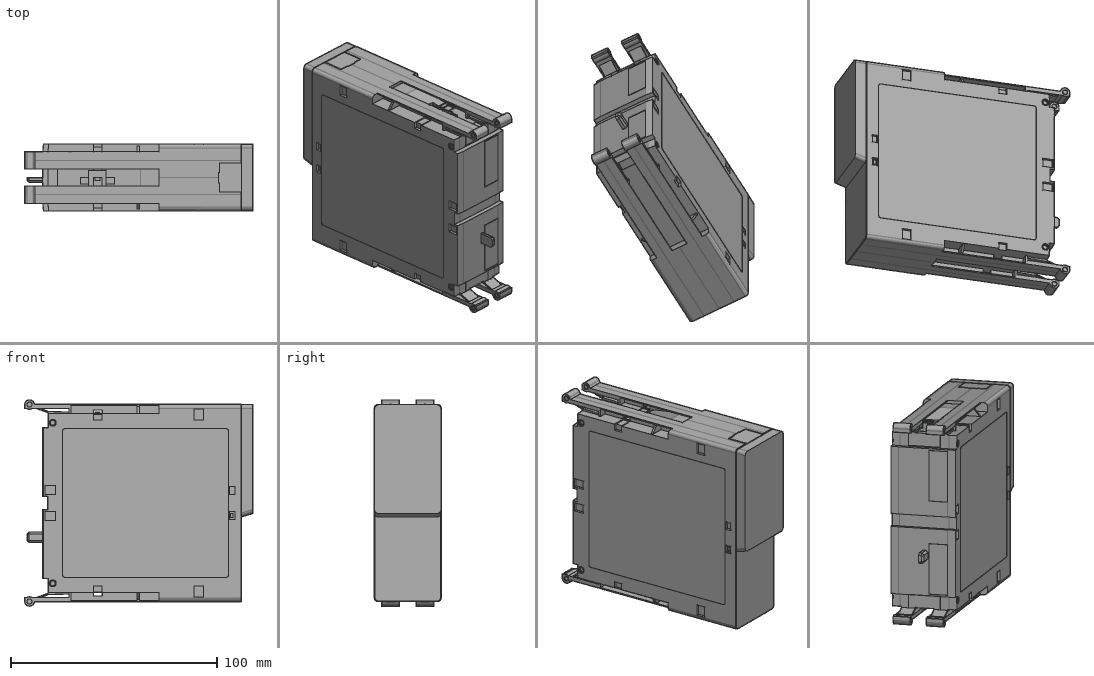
import cadquery as cq
import math

length = 110.5
full_height = 100.0
half_width = 16.2
half_height = 47.7
ridge_rise = 0.1
corner_radius = 1.9
back_x = 8.7
notch_x = 11.3
front_x = 105.1
front_chamfer = 0.3
corner_notch_z = 36.6
middle_notch_x = 10.9
middle_notch_half = 3.2
back_draft_y = 12.4
back_draft = 0.3

rail_inner = 4.1
rail_outer = 12.6
rail_centre = (rail_inner + rail_outer) / 2
rail_skin_z = 47.2
arm_underside_z = 45.7
hook_radius = 2.3
hook_top_z = full_height / 2
hook_flank_degrees = 30.0
hook_hole_radius = 1.2
hook_hole_depth = 0.5

bay_end_x = 65.1
shelf_z = 43.3
web_start_x = 21.4
web_end_x = 22.5
wall_half = 0.4
gusset_x = 54.5
gusset_thick = 1.1
gusset_outer_y = 15.4
gusset_top_z = 46.7

tongue_tip_x = 5.6
tongue_join_x = 8.1
tongue_inner = 4.8
tongue_outer = 11.6
tongue_low_z = 43.8
tongue_root_z = 44.4
tongue_top_z = 44.1

pocket_depth = 1.4
snap_x = 33.4
snap_length = 4.1
snap_low_z = 40.1
snap_window_z = 45.0
groove_depth = 0.4

latch_x = 30.9
latch_length = 8.5
latch_y = 3.3
latch_ear = 4.0
latch_ear_y = 3.2
latch_depth = 0.7
latch_ear_depth = 0.3
latch_well_depth = 0.9
catch_x = 34.1
catch_length = 2.3
catch_width = 1.5
catch_top_z = 44.1
ramp_end_x = 56.1
ramp_start_z = 43.8
ramp_top_z = 46.2
sill_end_x = 15.8
sill_height = 0.1

lid_half_width = 16.1
lid_low_back_z = -6.7
lid_low_front_z = -5.1

edge_snap_x = 82.1
edge_snap_length = 4.4
edge_snap_top_z = 45.5
rear_pocket_x = 9.8
rear_pocket_length = 5.1
mid_pocket_low_z = 4.2
rear_pocket_high_z = 8.5
fore_pocket_x = 99.2
fore_pocket_length = 2.7
fore_pocket_high_z = 8.1
fore_tab_inset = 0.5
fore_tab_length = 1.2
fore_tab_height = 2.0
pin_hole_x = 13.6
pin_hole_z = 38.9
pin_hole_radius = 1.2
pin_hole_depth = 1.1
pin_hole_mouth_radius = 1.7
pin_hole_mouth_depth = 0.3
label_x0 = 18.3
label_x1 = 98.7
label_half_height = 36.0
label_radius = 1.1
label_depth = 0.1

window_y0 = -12.4
window_y1 = -3.0
window_low_z = 10.6
window_high_z = 35.7
window_depth = 0.2
notch_panel_half = 8.0
notch_panel_low_z = 37.0
notch_panel_high_z = 43.8
notch_panel_depth = 0.1
coding_pin_x = 1.2
coding_pin_width = 2.4
coding_pin_z = -16.6
coding_pin_height = 5.2
coding_pin_chamfer = 1.0

plate_x = 94.4
plate_half = 7.0
plate_depth = 0.2
plate_tab_length = 0.4
plate_tab_half = 2.5

overlap = 0.5


def box(x0, x1, y0, y1, z0, z1):
    """Box between opposite corners."""
    return cq.Workplane("XY").box(x1 - x0, y1 - y0, z1 - z0, centered=False).translate((x0, y0, z0))


def prism_x(points, x0, x1):
    """Extrude a YZ outline from x0 to x1."""
    return cq.Workplane("YZ").polyline(points).close().extrude(x1 - x0).translate((x0, 0, 0))


def prism_y(points, y0, y1):
    """Extrude an XZ outline from y0 to y1."""
    return cq.Workplane("XZ").polyline(points).close().extrude(y0 - y1).translate((0, y0, 0))


def both_heights(shape):
    """Add the copy mirrored top to bottom."""
    return shape.union(shape.mirror("XY"))


def both_sides(shape):
    """Add the copy mirrored from side to side."""
    return shape.union(shape.mirror("XZ"))


def housing_block():
    """Main block with a faintly ridged roof and floor, notched at the back."""
    ridge_z = half_height + ridge_rise
    roof = [(-half_width, half_height), (-rail_centre, ridge_z), (0, half_height),
            (rail_centre, ridge_z), (half_width, half_height)]
    floor = [(y, -z) for y, z in reversed(roof)]
    block = prism_x(roof + floor, back_x, front_x)
    block = block.edges("|X and (<Y or >Y)").fillet(corner_radius)
    block = block.faces(">X").edges().chamfer(front_chamfer)

    corner_notch = box(back_x, notch_x, -half_width, half_width, corner_notch_z, half_height + overlap)
    middle_notch = box(back_x, middle_notch_x, -half_width, half_width,
                       -middle_notch_half, middle_notch_half)
    bay = box(back_x, bay_end_x, -half_width, half_width, shelf_z, half_height + overlap)
    block = block.cut(both_heights(corner_notch.union(bay))).cut(middle_notch)

    def side_draft(face_x, low_z, high_z):
        wedge = [(face_x, back_draft_y), (face_x, half_width), (face_x + back_draft, half_width)]
        cutter = cq.Workplane("XY").polyline(wedge).close().extrude(high_z - low_z)
        return both_sides(cutter.translate((0, 0, low_z)))

    block = block.cut(both_heights(side_draft(back_x, middle_notch_half, corner_notch_z)))
    block = block.cut(both_heights(side_draft(notch_x, corner_notch_z, shelf_z)))
    return block.cut(side_draft(middle_notch_x, -middle_notch_half, middle_notch_half))


def lid_cover():
    """Cover on the upper part of the front with rounded corners and a slanted lower end."""
    outline = [(front_x, lid_low_back_z), (length, lid_low_front_z),
               (length, half_height), (front_x, half_height)]
    cover = prism_y(outline, -lid_half_width, lid_half_width)
    return cover.faces(">Z or <Z").edges("not |Y").fillet(corner_radius)


def rail():
    """One roof rail with its hook arm, supporting wall and gusset."""
    ridge_z = half_height + ridge_rise
    inner_z = half_height + ridge_rise * rail_inner / rail_centre
    outer_z = half_height + ridge_rise * (half_width - rail_outer) / (half_width - rail_centre)

    def strip(x0, x1, low_z):
        section = [(rail_inner, low_z), (rail_outer, low_z), (rail_outer, outer_z),
                   (rail_centre, ridge_z), (rail_inner, inner_z)]
        return prism_x(section, x0, x1)

    hook_z = hook_top_z - hook_radius
    width = rail_outer - rail_inner
    hook = cq.Workplane("XZ", origin=(0, rail_outer, 0)).center(hook_radius, hook_z)
    hook_pin = hook.circle(hook_radius).extrude(width)
    flank_angle = math.radians(hook_flank_degrees)
    flank_x = hook_radius + hook_radius * math.cos(flank_angle)
    flank_z = hook_z + hook_radius * math.sin(flank_angle)
    flank_foot_x = flank_x + (flank_z - half_height) * math.tan(flank_angle)
    flank = prism_y(
        [(hook_radius, half_height), (flank_foot_x, half_height), (flank_x, flank_z)],
        rail_inner, rail_outer,
    )
    arm_start = box(0, hook_radius, rail_inner, rail_outer, arm_underside_z, hook_z)
    arm = strip(hook_radius, web_end_x, arm_underside_z)
    web = strip(web_start_x, web_end_x, shelf_z - overlap)
    skin = strip(web_end_x, bay_end_x + overlap, rail_skin_z)

    wall = box(web_end_x, bay_end_x + overlap, rail_centre - wall_half, rail_centre + wall_half,
               shelf_z - overlap, rail_skin_z)
    window = box(snap_x, snap_x + snap_length, rail_inner, rail_outer, shelf_z, snap_window_z)
    gusset = prism_x(
        [(rail_centre, shelf_z), (gusset_outer_y, shelf_z), (rail_outer, gusset_top_z),
         (rail_outer, rail_skin_z), (rail_centre, rail_skin_z)],
        gusset_x, gusset_x + gusset_thick,
    )
    tongue = prism_y(
        [(tongue_tip_x, arm_underside_z), (notch_x, tongue_low_z), (notch_x, shelf_z - overlap),
         (web_start_x, shelf_z - overlap), (web_start_x, tongue_top_z),
         (notch_x, tongue_root_z), (tongue_join_x, arm_underside_z)],
        tongue_inner, tongue_outer,
    )
    body = hook_pin
    for piece in (flank, arm_start, arm, web, skin, wall.cut(window), gusset, tongue):
        body = body.union(piece)
    for face_y in (rail_inner, rail_outer - hook_hole_depth):
        hole = (
            cq.Workplane("XZ", origin=(hook_radius, face_y, hook_z))
            .circle(hook_hole_radius)
            .extrude(-hook_hole_depth)
        )
        body = body.cut(hole)
    return body


def side_recesses():
    """Cutters for the pockets, pin holes and label area of the -Y side."""
    face_y = -half_width
    floor_y = face_y + pocket_depth

    def pocket(x, x_size, low_z, high_z):
        return box(x, x + x_size, face_y, floor_y, low_z, high_z)

    def drilled(radius, depth):
        hole = cq.Workplane("XZ", origin=(pin_hole_x, face_y, pin_hole_z))
        return hole.circle(radius).extrude(-depth)

    upper = pocket(snap_x, snap_length, snap_low_z, shelf_z)
    upper = upper.union(pocket(edge_snap_x, edge_snap_length, snap_low_z, edge_snap_top_z))
    upper = upper.union(pocket(rear_pocket_x, rear_pocket_length, mid_pocket_low_z, rear_pocket_high_z))
    upper = upper.union(pocket(fore_pocket_x, fore_pocket_length, mid_pocket_low_z, fore_pocket_high_z))
    upper = upper.union(drilled(pin_hole_radius, pin_hole_depth))
    upper = upper.union(drilled(pin_hole_mouth_radius, pin_hole_mouth_depth))

    label = box(label_x0, label_x1, face_y, face_y + label_depth, -label_half_height, label_half_height)
    label = label.edges("|Y").fillet(label_radius)

    tab_x = fore_pocket_x + fore_tab_inset
    tab_z = -(mid_pocket_low_z + fore_pocket_high_z) / 2
    tab = box(tab_x, tab_x + fore_tab_length, face_y + pocket_depth / 2, floor_y,
              tab_z - fore_tab_height / 2, tab_z + fore_tab_height / 2)
    return both_heights(upper).union(label).cut(tab)


def back_recesses():
    """Cutters for the two shallow windows and the panels in the corner notches."""
    window = box(back_x, back_x + window_depth, window_y0, window_y1, window_low_z, window_high_z)
    panel = box(notch_x, notch_x + notch_panel_depth, -notch_panel_half, notch_panel_half,
                notch_panel_low_z, notch_panel_high_z)
    return both_heights(window.union(panel))


def roof_recesses():
    """Cutters for the plate by the lid, the shelf groove and the latch between the upper rails."""
    low_z = half_height - plate_depth
    high_z = half_height + ridge_rise
    plate = box(plate_x, front_x, -plate_half, plate_half, low_z, high_z)
    plate_tab = box(plate_x - plate_tab_length, plate_x, -plate_tab_half, plate_tab_half, low_z, high_z)

    groove = box(snap_x, snap_x + snap_length, -half_width, half_width, shelf_z - groove_depth, shelf_z)
    latch_end_x = latch_x + latch_length
    latch = box(latch_x, latch_end_x, -rail_inner, latch_y, shelf_z - latch_depth, shelf_z)
    ears = box(latch_x - latch_ear, latch_end_x + latch_ear, -latch_ear_y, 0,
               shelf_z - latch_ear_depth, shelf_z)
    well = box(snap_x, snap_x + snap_length, -rail_inner, 0, shelf_z - latch_well_depth, shelf_z)
    return plate.union(plate_tab).union(groove).union(latch).union(ears).union(well)


def latch_details():
    """Catch in the latch recess and the ramp that climbs from it to the bay end."""
    catch = box(catch_x, catch_x + catch_length, -catch_width, 0,
                shelf_z - latch_well_depth - overlap, catch_top_z)
    ramp_x = latch_x + latch_length
    low_z = shelf_z - overlap
    ramp = prism_y(
        [(ramp_x, low_z), (ramp_x, ramp_start_z), (ramp_end_x, ramp_top_z),
         (bay_end_x + overlap, ramp_top_z), (bay_end_x + overlap, low_z)],
        -rail_centre, rail_centre,
    )
    ear_end_x = ramp_x + latch_ear
    ear = box(ramp_x, ear_end_x, -latch_ear_y, 0, shelf_z - latch_ear_depth, ramp_top_z)
    return catch.union(ramp.cut(ear))


def sills():
    """Slightly raised strips at the back edge of both shelves, between the rails."""
    strip = box(notch_x, sill_end_x, -rail_inner, rail_inner, shelf_z - overlap, shelf_z + sill_height)
    return both_heights(strip)


def coding_pin():
    """Half-octagon pin standing out of the back face, flat on the middle plane."""
    half = coding_pin_height / 2
    pin = box(coding_pin_x, back_x + overlap, -coding_pin_width, 0,
              coding_pin_z - half, coding_pin_z + half)
    pin = pin.edges("|X and <Y").chamfer(coding_pin_chamfer)
    return pin.faces("<X").edges("not >Y").chamfer(coding_pin_chamfer)


housing = housing_block().union(lid_cover())
housing = housing.cut(both_sides(side_recesses()))
housing = housing.cut(roof_recesses())
housing = housing.union(both_heights(both_sides(rail())))
housing = housing.union(latch_details()).union(sills()).cut(back_recesses())
result = housing.union(coding_pin())